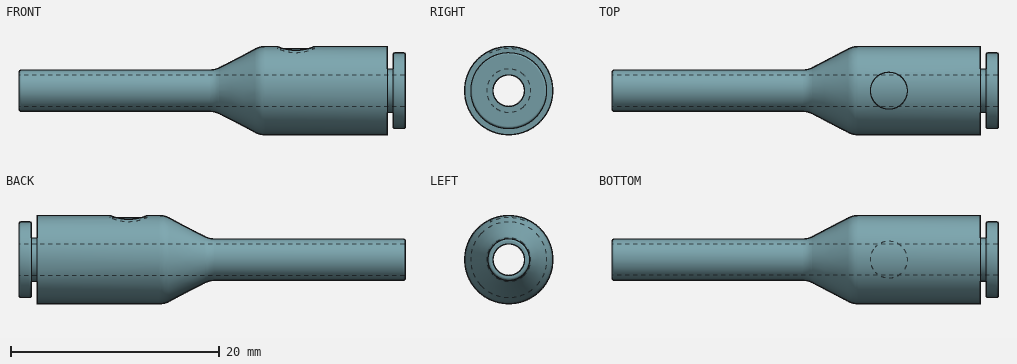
import cadquery as cq
import math

total_length = 37.13
cone_start = 18.84
cone_end = 23.15
body_end = 35.4
collar_length = 1.2
collar_start = total_length - collar_length

tube_radius = 4.0 / 2
body_radius = 8.5 / 2
stem_radius = 4.2 / 2
collar_radius = 7.3 / 2
bore_radius = 3.0 / 2

cone_blend_radius = 1.9
tube_end_round = 0.25
collar_round = 0.2

badge_x = 26.6
badge_diameter = 3.55
badge_depth = 0.2

cone_angle = math.atan2(body_radius - tube_radius, cone_end - cone_start)
blend_setback = cone_blend_radius * math.tan(cone_angle / 2)


def along_cone(corner_x, corner_radius, distance):
    """Point on the cone line at a signed distance from one of its corners."""
    return (corner_x + distance * math.cos(cone_angle),
            corner_radius + distance * math.sin(cone_angle))


def make_body():
    """Tube, blended cone and cylindrical body, revolved about X."""
    profile = (
        cq.Workplane("XY")
        .moveTo(0, 0)
        .lineTo(0, tube_radius)
        .lineTo(cone_start - blend_setback, tube_radius)
        .tangentArcPoint(along_cone(cone_start, tube_radius, blend_setback), relative=False)
        .lineTo(*along_cone(cone_end, body_radius, -blend_setback))
        .tangentArcPoint((cone_end + blend_setback, body_radius), relative=False)
        .lineTo(body_end, body_radius)
        .lineTo(body_end, 0)
        .close()
    )
    body = profile.revolve(360, (0, 0, 0), (1, 0, 0))
    return body.faces("<X").edges().fillet(tube_end_round)


def make_release_collar():
    """Narrow stem leaving the body and the rounded collar at its end."""
    stem = cq.Workplane("YZ", origin=(body_end, 0, 0)).circle(stem_radius).extrude(collar_start - body_end)
    collar = cq.Workplane("YZ", origin=(collar_start, 0, 0)).circle(collar_radius).extrude(collar_length)
    return stem.union(collar.edges().fillet(collar_round))


def make_badge_recess():
    """Round pocket of even depth, its floor concentric with the body."""
    plug = cq.Workplane("XY", origin=(badge_x, 0, 0)).circle(badge_diameter / 2).extrude(body_radius)
    floor = cq.Workplane("YZ").circle(body_radius - badge_depth).extrude(body_end)
    return plug.cut(floor)


def make_bore():
    """Straight passage through the whole part."""
    return cq.Workplane("YZ").circle(bore_radius).extrude(total_length)


result = make_body().union(make_release_collar()).cut(make_badge_recess()).cut(make_bore())